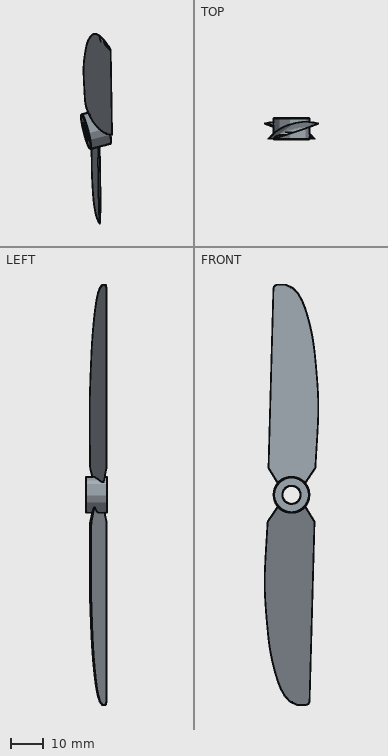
import cadquery as cq

hub_length = 6.7
hub_radius = 5.5
bore_radius = 2.7
edge_chamfer = 0.3
bore_chamfer = 0.1
sleeve_bore = hub_radius - edge_chamfer

section_steps = 24
tip_radius = 64.0
blade_front = -3.1
face_slope = 0.32
camber_ratio = 0.16
leading_root_x = -7.0
leading_tip_x = -5.5
corner_radius = 1.3

root_height = 3.8
root_leading_x = -4.3
root_trailing_x = 4.3
shoulder_height = 8.2

trailing_edge = [
    (shoulder_height, 7.3),
    (16.6, 7.8),
    (28.1, 8.2),
    (38.4, 7.5),
    (47.3, 6.5),
    (55.0, 4.7),
    (59.5, 3.1),
    (62.0, 1.4),
    (63.2, 0.1),
    (tip_radius, -1.8),
]


def leading_x(height):
    """X of the leading edge, a straight line from shoulder to tip."""
    fraction = (height - shoulder_height) / (tip_radius - shoulder_height)
    return leading_root_x + fraction * (leading_tip_x - leading_root_x)


def face_y(x, height):
    """Y of the flat front face, which holds the leading edge."""
    return blade_front + face_slope * (x - leading_x(height))


def section(height, x_lead, x_trail):
    """Closed blade section: flat front face and arched back."""
    x_middle = (x_lead + x_trail) / 2
    thickness = camber_ratio * (x_trail - x_lead)
    lead = cq.Vector(x_lead, face_y(x_lead, height), height)
    trail = cq.Vector(x_trail, face_y(x_trail, height), height)
    crown = cq.Vector(x_middle, face_y(x_middle, height) + thickness, height)
    front = cq.Edge.makeLine(trail, lead)
    back = cq.Edge.makeThreePointArc(lead, crown, trail)
    return cq.Wire.assembleEdges([back, front])


def tip_corner():
    """Waste outside the round between the leading edge and the tip."""
    arc_middle = corner_radius * (1 - 0.5 ** 0.5)
    margin = 0.6
    return (
        cq.Workplane("XZ")
        .moveTo(leading_tip_x, tip_radius - corner_radius)
        .threePointArc(
            (leading_tip_x + arc_middle, tip_radius - arc_middle),
            (leading_tip_x + corner_radius, tip_radius),
        )
        .lineTo(leading_tip_x + corner_radius, tip_radius + margin)
        .lineTo(leading_tip_x - margin, tip_radius + margin)
        .lineTo(leading_tip_x - margin, tip_radius - corner_radius)
        .close()
        .extrude(hub_length, both=True)
    )


def make_blade():
    """Upper blade, from inside the hub wall to the tip."""
    curve = cq.Edge.makeSpline([cq.Vector(x, 0, z) for z, x in trailing_edge])
    points = [curve.positionAt(i / section_steps) for i in range(section_steps + 1)]
    sections = [section(p.z, leading_x(p.z), p.x) for p in points]
    root = section(root_height, root_leading_x, root_trailing_x)
    outer = cq.Solid.makeLoft(sections, True)
    neck = cq.Solid.makeLoft([root, sections[0]], True)
    return cq.Workplane(obj=outer).union(cq.Workplane(obj=neck)).cut(tip_corner())


def cylinder(radius):
    """Cylinder on the Y axis, as long as the hub."""
    return cq.Workplane("XZ").workplane(offset=-hub_length / 2).circle(radius).extrude(hub_length)


def make_hub():
    """Plain bored hub that fills the propeller's sleeve."""
    blank = cylinder(sleeve_bore).cut(cylinder(bore_radius))
    bore_rims = cq.selectors.RadiusNthSelector(0)
    return blank.edges(bore_rims).chamfer(bore_chamfer)


def make_propeller():
    """Two blades half a turn apart, joined by a thin sleeve around the hub."""
    propeller = cylinder(hub_radius).faces("<Y or >Y").chamfer(edge_chamfer)
    for angle in (0, 180):
        propeller = propeller.union(make_blade().rotate((0, 0, 0), (0, 1, 0), angle))
    return propeller.cut(cylinder(sleeve_bore))


hub = make_hub()
propeller = make_propeller()
result = cq.Compound.makeCompound([hub.val(), *propeller.vals()])